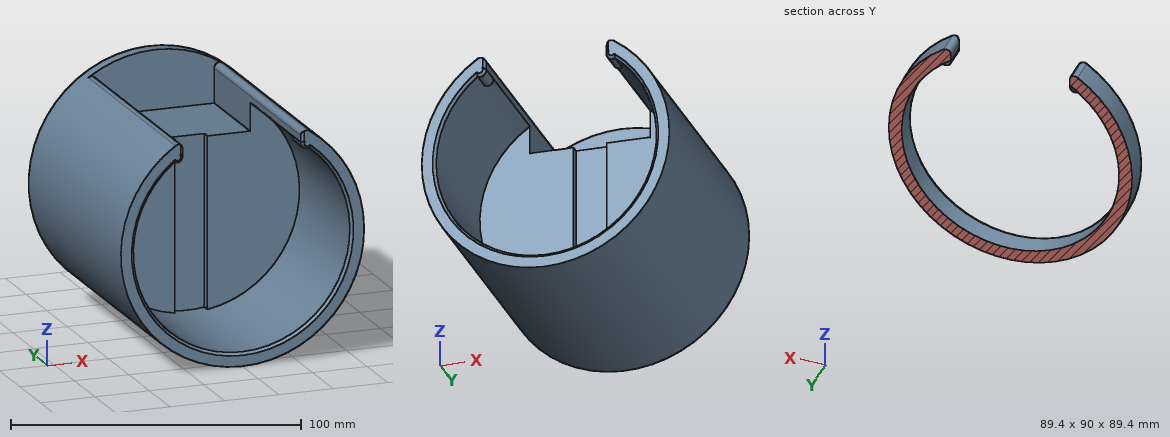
import cadquery as cq
import math

length = 90.0
outer_radius = 44.7
wall = 4.95
bore_radius = outer_radius - wall
mouth_chamfer = 1.0

end_wall = 4.95
block_length = 40.0
pocket_floor_z = 23.1
groove_width = 12.0
groove_depth = 3.0

slot_width = 43.4
slot_lip_radius = 1.9

ridge_radius = 2.2
ridge_length = 9.0
ridge_z = 33.0

front_y = -length / 2
back_y = length / 2
block_y = back_y - block_length
slot_length = length - end_wall


def cylinder(radius, start_y, depth):
    """Cylinder on the Y axis, running from start_y towards +Y."""
    return cq.Workplane("XZ", origin=(0, start_y, 0)).circle(radius).extrude(-depth)


def centred_box(width, start_y, depth, bottom_z, top_z):
    """Box centred on X, running from start_y towards +Y."""
    corner = (-width / 2, start_y, bottom_z)
    return cq.Workplane("XY").box(width, depth, top_z - bottom_z, centered=False).translate(corner)


def is_outer_edge(edge):
    """True for an arc that lies on the outside of the cup."""
    return edge.geomType() == "CIRCLE" and edge.radius() > bore_radius + wall / 2


body = cylinder(outer_radius, front_y, length)
body = body.cut(cylinder(bore_radius, front_y, length - block_length))

body = body.cut(centred_box(slot_width, front_y, slot_length, pocket_floor_z, outer_radius))

groove = centred_box(groove_width, block_y, groove_depth, -bore_radius, pocket_floor_z)
body = body.cut(groove.intersect(cylinder(bore_radius, block_y, groove_depth)))

rim_edges = body.faces("<Y").edges()
inner_rim_edges = [edge for edge in rim_edges.vals() if not is_outer_edge(edge)]
body = body.newObject(inner_rim_edges).chamfer(mouth_chamfer)

slot_edge_z = math.sqrt(outer_radius**2 - (slot_width / 2) ** 2)
for side in (-1, 1):
    edge_point = (side * slot_width / 2, front_y + slot_length / 2, slot_edge_z)
    body = body.edges(cq.selectors.NearestToPointSelector(edge_point)).fillet(slot_lip_radius)

ridge = cylinder(ridge_radius, front_y, ridge_length).faces("<Y").chamfer(mouth_chamfer)
ridge_x = slot_width / 2 + ridge_radius
for side in (-1, 1):
    body = body.union(ridge.translate((side * ridge_x, 0, ridge_z)))

result = body